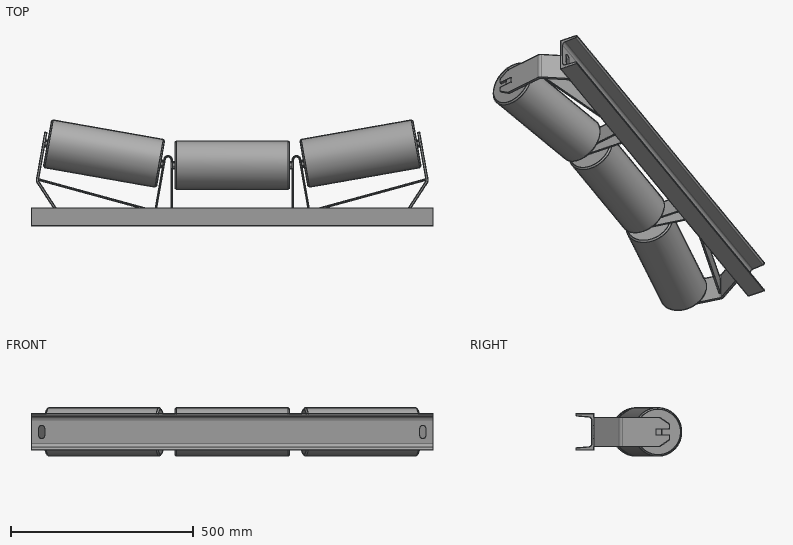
import cadquery as cq
import math

roller_diameter = 133.0
roller_length = 315.0
roller_chamfer = 4.0
shaft_diameter = 20.0
shaft_flats = 16.0
trough_angle = 10.0
middle_axis_y = 117.0
side_center_x = -351.0
side_center_y = 148.0

channel_length = 1100.0
channel_height = 100.0
channel_depth = 50.0
web_thickness = 6.0
flange_thickness = 8.5
flange_taper = 0.08
root_radius = 8.5
toe_radius = 4.0
slot_width = 16.0
slot_height = 36.0
slot_end_distance = 29.0

outer_width = 80.0
inner_width = 51.0
roller_gap = 7.0
outer_thickness = 6.0
inner_thickness = 4.0
strut_thickness = 4.0
inner_bracket_top = 143.0
outer_top = 30.0
outer_knee = -107.0
outer_foot_x = -490.0
knee_radius = 7.2
tip_width = 43.0
tip_length = 28.0
strut_foot_x = -239.0
strut_angle = 15.3

tilt_cos = math.cos(math.radians(trough_angle))
tilt_sin = math.sin(math.radians(trough_angle))
bracket_face = roller_length / 2 + roller_gap


def on_left_side(shape):
    """Move a shape from a roller's own frame (axis along X) to the tilted left roller."""
    tilted = shape.rotate((0, 0, 0), (0, 0, 1), -trough_angle)
    return tilted.translate((side_center_x, side_center_y, 0))


def left_point(along, above):
    """Position of a point given along and above the axis of the left roller."""
    x = side_center_x + along * tilt_cos + above * tilt_sin
    y = side_center_y - along * tilt_sin + above * tilt_cos
    return x, y


def block(x_start, x_end, y_start, y_end, width):
    """Box centred on z = 0."""
    box = cq.Workplane("XY").box(x_end - x_start, y_end - y_start, width, centered=(False, False, True))
    return box.translate((x_start, y_start, 0))


def rod(diameter, length):
    """Round bar along X, centred on the origin."""
    return cq.Workplane("YZ", origin=(-length / 2, 0, 0)).circle(diameter / 2).extrude(length)


def strip_plane(width):
    """Lower face of a strip that is centred on z = 0."""
    return cq.Workplane("XY", origin=(0, 0, -width / 2))


def make_channel():
    half_height = channel_height / 2
    taper_rise = flange_taper * channel_depth / 2
    toe_z = half_height - flange_thickness + taper_rise
    root_z = toe_z - flange_taper * (channel_depth - web_thickness)
    outline = [
        (0, half_height), (-channel_depth, half_height), (-channel_depth, toe_z), (-web_thickness, root_z),
        (-web_thickness, -root_z), (-channel_depth, -toe_z), (-channel_depth, -half_height), (0, -half_height),
    ]
    channel = (
        cq.Workplane("YZ", origin=(-channel_length / 2, 0, 0))
        .polyline(outline).close().extrude(channel_length)
    )
    margin = 1.0
    for sign in (1, -1):
        for y, z, radius in ((-channel_depth, toe_z, toe_radius), (-web_thickness, root_z, root_radius)):
            corner = cq.selectors.BoxSelector(
                (-margin, y - margin, sign * z - margin), (margin, y + margin, sign * z + margin))
            channel = channel.edges("|X").edges(corner).fillet(radius)
    slot_x = channel_length / 2 - slot_end_distance
    slots = (
        cq.Workplane("XZ").pushPoints([(-slot_x, 0), (slot_x, 0)])
        .slot2D(slot_height, slot_width, 90).extrude(channel_depth)
    )
    return channel.cut(slots)


def make_roller(end_thicknesses):
    """Roller along X with its shaft; the squared shaft ends fill the brackets left and right."""
    roller = rod(roller_diameter, roller_length).faces("<X or >X").chamfer(roller_chamfer)
    shaft = rod(shaft_diameter, 2 * bracket_face)
    left_end = -bracket_face - end_thicknesses[0]
    right_end = bracket_face + end_thicknesses[1]
    flats = block(left_end, right_end, -shaft_flats / 2, shaft_flats / 2, shaft_flats)
    return roller.union(shaft).union(flats)


def make_outer_bracket():
    """Strip bent at a knee, with a tapered tip and an open slot for the shaft."""
    inner = -bracket_face
    outer = inner - outer_thickness
    knee = left_point(outer, outer_knee)
    lean = math.atan2(outer_foot_x - knee[0], knee[1])
    bend = lean + math.radians(trough_angle)
    inner_knee = left_point(inner, outer_knee + outer_thickness * math.tan(bend / 2))
    inner_foot = (outer_foot_x + outer_thickness / math.cos(lean), 0)
    outline = [
        left_point(outer, outer_top), knee, (outer_foot_x, 0),
        inner_foot, inner_knee, left_point(inner, outer_top),
    ]
    bracket = strip_plane(outer_width).polyline(outline).close().extrude(outer_width)
    for point, radius in ((inner_knee, knee_radius), (knee, knee_radius + outer_thickness)):
        bracket = bracket.edges(cq.selectors.NearestToPointSelector((*point, 0))).fillet(radius)
    slot = block(outer, inner, -shaft_flats / 2, outer_top, shaft_flats)
    half_width = outer_width / 2
    corner = [(outer_top, tip_width / 2), (outer_top, half_width), (outer_top - tip_length, half_width)]
    corner_cut = (
        cq.Workplane("YZ", origin=(outer, 0, 0)).polyline(corner).close().extrude(outer_thickness)
    )
    cuts = slot.union(corner_cut).union(corner_cut.mirror("XY"))
    return bracket.cut(on_left_side(cuts))


def make_inner_bracket():
    """Strip folded over a round bend: one leg beside the left roller, one beside the middle roller."""
    fold_radius = (
        (-bracket_face - side_center_x) * tilt_cos
        - (inner_bracket_top - side_center_y) * tilt_sin - bracket_face
    ) / (1 + tilt_cos - tilt_sin)
    center_x = -bracket_face - fold_radius
    center_y = inner_bracket_top - fold_radius

    def leg_point(radius):
        """Tangent point of the fold on the tilted leg."""
        return center_x - radius * tilt_cos, center_y + radius * tilt_sin

    def foot(radius):
        """Foot of the tilted leg at the channel."""
        x, y = leg_point(radius)
        return x - y * tilt_sin / tilt_cos, 0

    inside_radius = fold_radius - inner_thickness
    return (
        strip_plane(inner_width).moveTo(*foot(fold_radius)).lineTo(*leg_point(fold_radius))
        .threePointArc((center_x, center_y + fold_radius), (center_x + fold_radius, center_y))
        .lineTo(center_x + fold_radius, 0).lineTo(center_x + inside_radius, 0)
        .lineTo(center_x + inside_radius, center_y)
        .threePointArc((center_x, center_y + inside_radius), leg_point(inside_radius))
        .lineTo(*foot(inside_radius)).close().extrude(inner_width)
    )


def make_strut(outer_bracket):
    """Flat brace from the channel up to the outer bracket, ending against it."""
    slope = math.tan(math.radians(strut_angle))
    foot_length = strut_thickness / math.sin(math.radians(strut_angle))
    top_x = left_point(-bracket_face - outer_thickness / 2, outer_knee)[0]
    rise = (strut_foot_x - top_x) * slope
    outline = [
        (strut_foot_x, 0), (top_x, rise),
        (top_x, rise - foot_length * slope), (strut_foot_x - foot_length, 0),
    ]
    strut = strip_plane(inner_width).polyline(outline).close().extrude(inner_width)
    return strut.cut(outer_bracket)


channel = make_channel()
middle_roller = make_roller((inner_thickness, inner_thickness)).translate((0, middle_axis_y, 0))
side_roller = on_left_side(make_roller((outer_thickness, inner_thickness)))
outer_bracket = make_outer_bracket()
inner_bracket = make_inner_bracket().cut(side_roller).cut(middle_roller)
strut = make_strut(outer_bracket)

bodies = [channel.solids().val(), middle_roller.solids().val()]
for left_body in (side_roller, outer_bracket, inner_bracket, strut):
    right_body = left_body.mirror("YZ")
    bodies += [left_body.solids().val(), right_body.solids().val()]
result = cq.Compound.makeCompound(bodies)